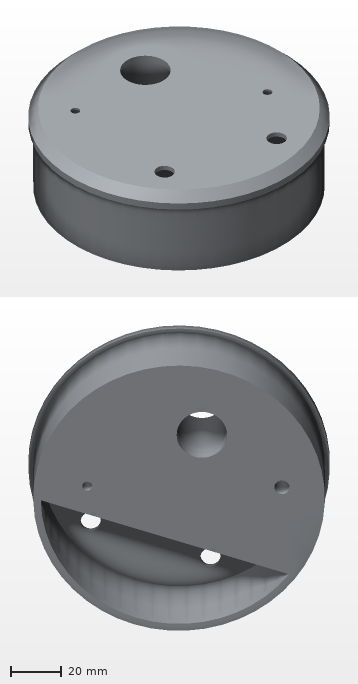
import cadquery as cq
import math

rim_diameter = 120.0
body_diameter = 116.0
total_height = 38.0
rim_height = 7.0
rim_chamfer = 4.0

pocket_wall_thickness = 3.0
pocket_roof = 2.0
pocket_flat_x = 18.0

large_hole_diameter = 20.0
large_hole_x = -29.2

pocket_hole_diameter = 8.0
pocket_hole_x = 36.2
pocket_hole_y = 25.1

small_hole_diameter = 3.8
plain_hole_centre = (6.4, 36.4)
stepped_hole_centre = (-17.3, -37.5)
stepped_hole_lower_diameter = 6.0
stepped_hole_skin = 1.0

body_height = total_height - rim_height
pocket_radius = body_diameter / 2 - pocket_wall_thickness
pocket_half_width = math.sqrt(pocket_radius**2 - pocket_flat_x**2)


def cylinder(diameter, height, centre=(0, 0)):
    """Upright cylinder standing on the bottom plane."""
    return cq.Workplane("XY").center(*centre).circle(diameter / 2).extrude(height)


def drill(part, diameter, centre):
    """Round hole through the full height."""
    return part.cut(cylinder(diameter, total_height, centre))


rim = cylinder(rim_diameter, rim_height).faces(">Z").edges().chamfer(rim_chamfer)
result = cylinder(body_diameter, body_height).union(rim.translate((0, 0, body_height)))

pocket = (
    cq.Workplane("XY")
    .moveTo(pocket_flat_x, -pocket_half_width)
    .threePointArc((pocket_radius, 0), (pocket_flat_x, pocket_half_width))
    .close()
    .extrude(total_height - pocket_roof)
)
result = result.cut(pocket)

result = drill(result, large_hole_diameter, (large_hole_x, 0))
for side in (-1, 1):
    result = drill(result, pocket_hole_diameter, (pocket_hole_x, side * pocket_hole_y))
for centre in (plain_hole_centre, stepped_hole_centre):
    result = drill(result, small_hole_diameter, centre)
lower_bore_height = total_height - stepped_hole_skin
result = result.cut(cylinder(stepped_hole_lower_diameter, lower_bore_height, stepped_hole_centre))